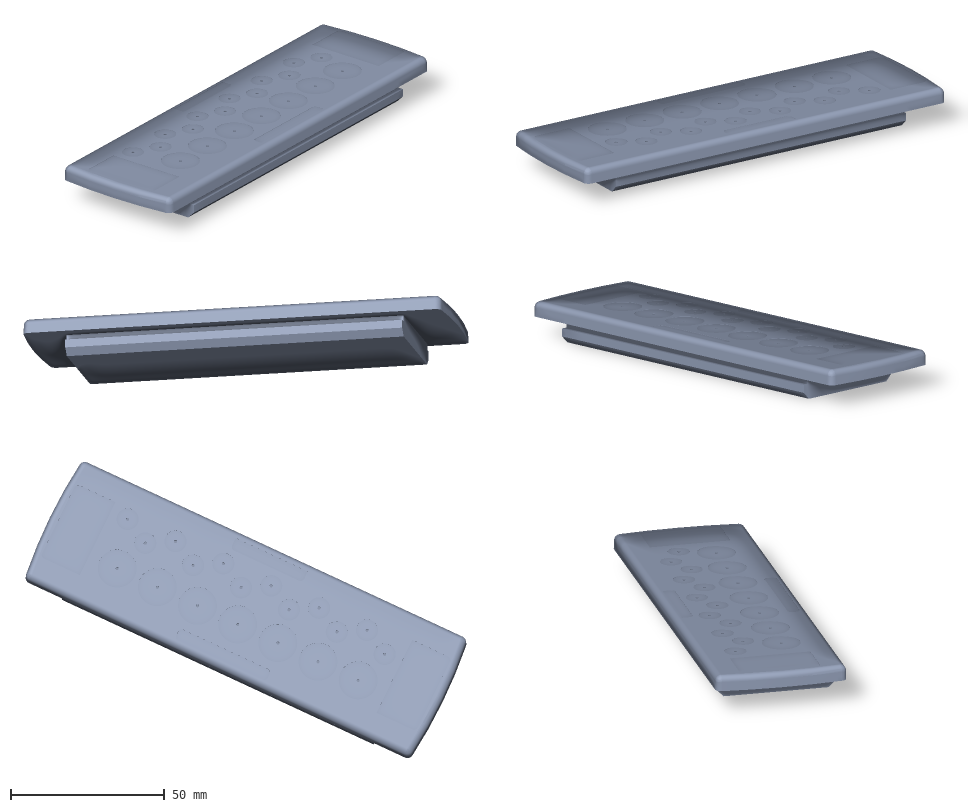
import cadquery as cq
import math

plate_width = 43.97
plate_length = 141.72
plate_bottom = 7.0
plate_top = 12.0
end_bow_radius = 175.0
side_draft = 2.0
corner_radius = 2.0
top_edge_radius = 2.0

rail_length = 112.3
rail_center_x = 1.45
neck_width = 36.2
foot_width = 40.0
foot_top = 5.0
foot_chamfer = 2.35

recess_depth = 0.1
recess_corner_radius = 1.3
label_width = 27.0
label_length = 14.2
label_center_y = 60.6
slot_width = 4.0
slot_center_x = 17.5
left_slot_length = 26.0
right_slot_length = 33.0

pilot_diameter = 1.0
pilot_depth = 0.5
large_diameter = 12.65
large_count = 7
large_pitch = 14.48
large_x = 6.3
small_diameter = 7.2
small_count = 12
small_pitch = 8.63
small_outer_x = -10.05
small_inner_x = -5.3


def make_plate():
    """Plate that narrows upward by the side draft and has a rounded top edge."""
    half_width = plate_width / 2
    half_length = plate_length / 2
    bow_height = end_bow_radius - math.sqrt(end_bow_radius**2 - half_width**2)
    side_end = half_length - bow_height
    outline = (
        cq.Workplane("XY", origin=(0, 0, plate_bottom))
        .moveTo(-half_width, -side_end)
        .threePointArc((0, -half_length), (half_width, -side_end))
        .lineTo(half_width, side_end)
        .threePointArc((0, half_length), (-half_width, side_end))
        .close()
    )
    block = outline.extrude(plate_top - plate_bottom)
    footprint = block.edges("|Z").fillet(corner_radius).faces("<Z").wires().val()
    drafted = (
        cq.Workplane("XY")
        .add(footprint)
        .toPending()
        .extrude(plate_top - plate_bottom, taper=side_draft)
    )
    return drafted.faces(">Z").edges().fillet(top_edge_radius)


def make_rail():
    """T-shaped rail, set off-center toward +X."""
    neck = (
        cq.Workplane("XY", origin=(rail_center_x, 0, foot_top))
        .rect(neck_width, rail_length)
        .extrude(plate_bottom - foot_top)
    )
    foot = (
        cq.Workplane("XY", origin=(rail_center_x, 0, 0))
        .rect(foot_width, rail_length)
        .extrude(foot_top)
        .faces("<Z")
        .edges("|Y")
        .chamfer(foot_chamfer)
    )
    return neck.union(foot)


def recess(center_x, center_y, width, length, rounded_edges):
    """Rectangular cutter sunk into the top face, rounded on the selected upright edges."""
    return (
        cq.Workplane("XY", origin=(center_x, center_y, plate_top - recess_depth))
        .rect(width, length)
        .extrude(recess_depth)
        .edges(rounded_edges)
        .fillet(recess_corner_radius)
    )


def cable_entry(center_x, center_y, diameter):
    """Round cutter for a recess and the pilot hole at its center."""
    disc = (
        cq.Workplane("XY", origin=(center_x, center_y, plate_top - recess_depth))
        .circle(diameter / 2)
        .extrude(recess_depth)
    )
    pilot = (
        cq.Workplane("XY", origin=(center_x, center_y, plate_top - pilot_depth))
        .circle(pilot_diameter / 2)
        .extrude(pilot_depth)
    )
    return disc.union(pilot)


def row_positions(count, pitch):
    """Y positions of a row centered on the plate, from +Y to -Y."""
    first = (count - 1) * pitch / 2
    return [first - index * pitch for index in range(count)]


result = make_plate().union(make_rail())

result = result.cut(recess(0, label_center_y, label_width, label_length, "|Z and >Y"))
result = result.cut(recess(0, -label_center_y, label_width, label_length, "|Z and <Y"))

result = result.cut(recess(-slot_center_x, 0, slot_width, left_slot_length, "|Z and >X"))
result = result.cut(recess(slot_center_x, 0, slot_width, right_slot_length, "|Z"))

for entry_y in row_positions(large_count, large_pitch):
    result = result.cut(cable_entry(large_x, entry_y, large_diameter))

for index, entry_y in enumerate(row_positions(small_count, small_pitch)):
    entry_x = small_inner_x if index % 2 == 0 else small_outer_x
    result = result.cut(cable_entry(entry_x, entry_y, small_diameter))